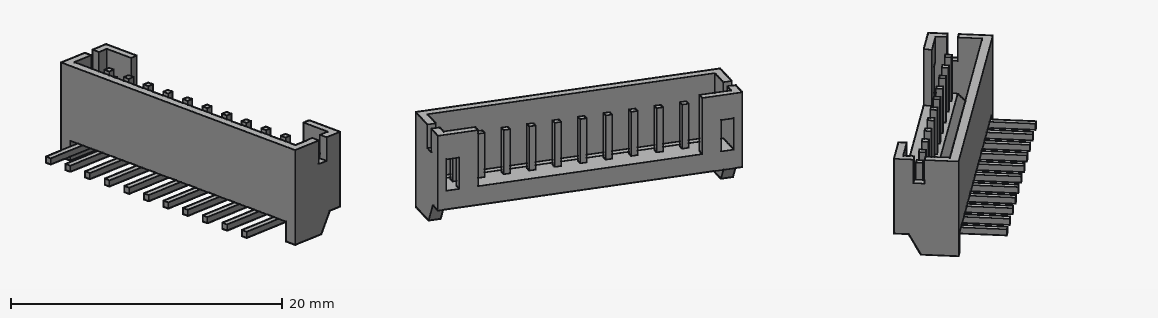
import cadquery as cq

housing_width = 23.9
housing_depth = 4.8
total_height = 7.6
foot_height = 1.6
foot_width = 0.95

chamfer_start = 1.1
chamfer_end = 2.0

side_wall = 0.67
front_wall = 0.72
back_wall = 0.62
floor_thickness = 1.5
floor_step = 0.57
floor_step_setback = 2.27

back_tab_width = 3.15
window_edge = 1.67
window_top_drop = 1.98
side_slot_depth = 1.9
side_slot_back = 1.45
side_slot_front = 2.27

terminal_count = 11
terminal_span = 20.0
terminal_size = 0.5
terminal_back = 1.45
terminal_tip_drop = 0.95
total_depth = 8.2

underside_z = foot_height
floor_z = underside_z + floor_thickness
terminal_pitch = terminal_span / (terminal_count - 1)


def block(x_range, y_range, z_range):
    """Axis-aligned box between the given limits."""
    (x0, x1), (y0, y1), (z0, z1) = x_range, y_range, z_range
    return cq.Workplane("XY").box(x1 - x0, y1 - y0, z1 - z0, centered=False).translate((x0, y0, z0))


def extrude_along_x(profile, width):
    """Extrude a (y, z) outline symmetrically about the part's centre."""
    return cq.Workplane("YZ").polyline(profile).close().extrude(width / 2, both=True)


def make_shell():
    """Side profile across the full width, with the underside cleared between the feet."""
    profile = [
        (0, total_height),
        (0, underside_z),
        (-chamfer_start, underside_z),
        (-chamfer_end, 0),
        (-housing_depth, 0),
        (-housing_depth, total_height),
    ]
    shell = extrude_along_x(profile, housing_width)
    foot_inner_x = housing_width / 2 - foot_width
    clearance = block((-foot_inner_x, foot_inner_x), (-housing_depth, 0), (0, underside_z))
    return shell.cut(clearance)


def make_cavity():
    """Mating cavity whose floor steps down towards the front wall."""
    cavity_front = -housing_depth + front_wall
    low_floor_z = floor_z - floor_step
    profile = [
        (-back_wall, total_height),
        (-back_wall, floor_z),
        (-floor_step_setback, floor_z),
        (-floor_step_setback - floor_step, low_floor_z),
        (cavity_front, low_floor_z),
        (cavity_front, total_height),
    ]
    return extrude_along_x(profile, housing_width - 2 * side_wall)


def make_back_opening():
    """Wide gap between the two tabs of the back wall."""
    half_gap = housing_width / 2 - back_tab_width
    return block((-half_gap, half_gap), (-back_wall, 0), (floor_z, total_height))


def make_back_windows():
    """Window through each back tab, between the floor and the upper band, next to the side wall."""
    outer_x = housing_width / 2 - side_wall
    inner_x = housing_width / 2 - window_edge
    window_top_z = total_height - window_top_drop
    right = block((inner_x, outer_x), (-back_wall, 0), (floor_z, window_top_z))
    return right.union(right.mirror("YZ"))


def make_side_slots():
    """Slot from the top of both side walls."""
    half_width = housing_width / 2
    slot_floor_z = total_height - side_slot_depth
    return block((-half_width, half_width), (-side_slot_front, -side_slot_back), (slot_floor_z, total_height))


def make_terminal(x):
    """Upright pin through the floor, bent to run forward under the housing."""
    x_range = (x - terminal_size / 2, x + terminal_size / 2)
    lead_bottom_z = underside_z - terminal_size
    tip_z = total_height - terminal_tip_drop
    pin = block(x_range, (-terminal_back - terminal_size, -terminal_back), (lead_bottom_z, tip_z))
    lead = block(x_range, (-total_depth, -terminal_back), (lead_bottom_z, underside_z))
    return pin.union(lead)


result = make_shell()
for cutter in (make_cavity(), make_back_opening(), make_back_windows(), make_side_slots()):
    result = result.cut(cutter)
for index in range(terminal_count):
    result = result.union(make_terminal(index * terminal_pitch - terminal_span / 2))